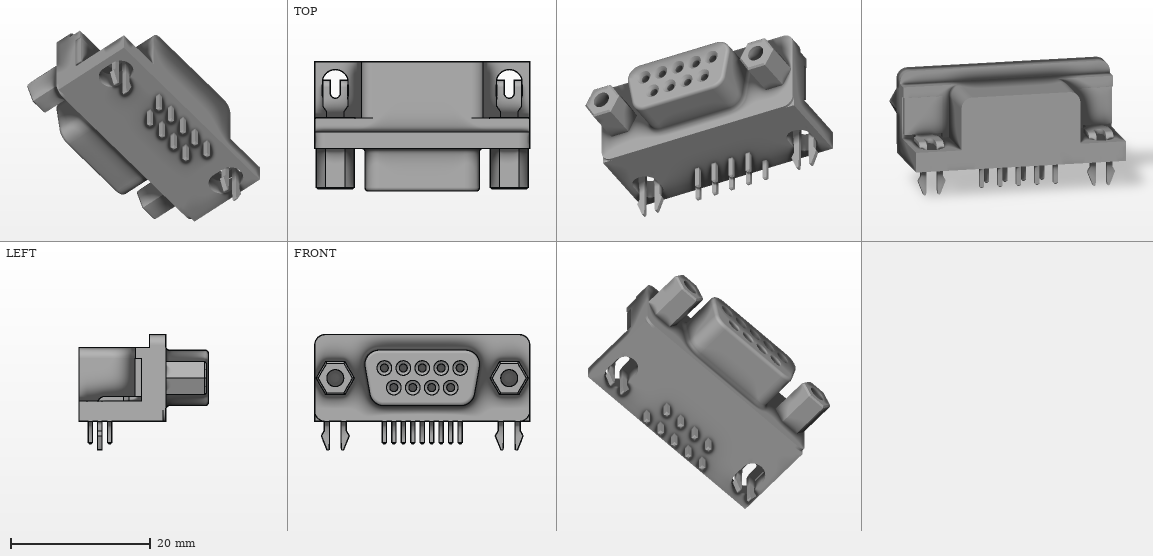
import cadquery as cq
import math


WIDTH = 30.97
DEPTH = 12.5
FLANGE_HEIGHT = 12.5
FLANGE_DEPTH = 2.4
FLANGE_CORNER_RADIUS = 1.55
FACE_PLATE_THICKNESS = 0.4
WALL_BACK_Y = 4.37
BODY_HEIGHT = 10.65
BODY_WIDTH = 17.53
BODY_EDGE_RADIUS = 1.58
BASE_HEIGHT = 2.9

SHELL_LENGTH = 6.13
SHELL_BOTTOM_Z = 2.25
SHELL_TOP_Z = 10.25
SHELL_TOP_HALF_WIDTH = 8.65
SHELL_SIDE_ANGLE = 10.0
SHELL_CORNER_RADIUS = 2.05
SHELL_EDGE_RADIUS = 0.5

TOP_ROW_COUNT = 5
BOTTOM_ROW_COUNT = 4
CONTACT_PITCH = 2.73
TOP_ROW_Z = 7.68
BOTTOM_ROW_Z = 4.85
SOCKET_DIAMETER = 1.15
SOCKET_MOUTH_DIAMETER = 2.1
SOCKET_CONE_DEPTH = (SOCKET_MOUTH_DIAMETER - SOCKET_DIAMETER) / 2
SOCKET_DEPTH = 1.85
PIN_SIDE = 0.65
PIN_LENGTH = 3.22
PIN_CHAMFER = 0.22
TOP_ROW_PIN_Y = 10.87
BOTTOM_ROW_PIN_Y = 8.08

SCREW_SIDES = 6
SCREW_X = 12.5
SCREW_Z = 6.22
SCREW_LENGTH = 5.82
SCREW_ACROSS_FLATS = 4.77
SCREW_CHAMFER = 0.25
SCREW_HOLE_DIAMETER = 2.45
SCREW_HOLE_DEPTH = 4.65

CLIP_THICKNESS = 0.68
CLIP_TOP_Z = BASE_HEIGHT + CLIP_THICKNESS
CLIP_HALF_WIDTH = 1.8
CLIP_NECK_HALF_WIDTH = 1.25
CLIP_NECK_END_Y = 5.3
CLIP_SHOULDER_Y = 6.07
CLIP_BACK_Y = 9.85
CLIP_BEND_RADIUS = 1.05
CLIP_BEND_END_Z = CLIP_TOP_Z - CLIP_BEND_RADIUS
CLIP_SLIT_WIDTH = 1.42
CLIP_SLIT_START_Y = 7.25
CLIP_PLATE_WIDTH = 5.65
CLIP_PLATE_TOP_Z = 9.07
CLIP_PLATE_FRONT_Y = 3.5
CLIP_PLATE_BACK_Y = 4.45
LEG_HALF_WIDTH = 1.6
LEG_INNER_HALF_WIDTH = 0.8
LEG_BOTTOM_Z = -4.15
BARB_TOP_Z = -1.35
BARB_TIP_Z = -2.07
BARB_HALF_WIDTH = 2.0
LEG_END_OUTER = 1.25
LEG_END_INNER = 0.87
LEG_END_CHAMFER = 0.12
LEG_INNER_BEND_Z = -2.8
CLIP_HOLE_RADIUS = 1.85
CLIP_HOLE_FRONT_Y = 7.85
CLIP_HOLE_BACK_Y = 9.48

SELECT_MARGIN = 0.03


def block(x_min, x_max, y_min, y_max, z_min, z_max):
    """Box given by its limits along each axis."""
    size = (x_max - x_min, y_max - y_min, z_max - z_min)
    return cq.Workplane("XY").box(*size, centered=False).translate((x_min, y_min, z_min))


def centred_block(width, y_min, y_max, z_min, z_max):
    """Box that is symmetric about X = 0."""
    return block(-width / 2, width / 2, y_min, y_max, z_min, z_max)


def row_positions(count):
    """X positions of an evenly pitched row centred on X = 0."""
    return [(i - (count - 1) / 2) * CONTACT_PITCH for i in range(count)]


def make_housing():
    face_plate = centred_block(WIDTH, 0, FACE_PLATE_THICKNESS, 0, FLANGE_HEIGHT)
    face_plate = face_plate.edges("|Y").fillet(FLANGE_CORNER_RADIUS)
    flange = centred_block(WIDTH, FACE_PLATE_THICKNESS, FLANGE_DEPTH, 0, FLANGE_HEIGHT)
    flange = flange.edges("|Y and >Z").fillet(FLANGE_CORNER_RADIUS)
    wall = centred_block(WIDTH, FLANGE_DEPTH, WALL_BACK_Y, 0, BODY_HEIGHT)
    body = centred_block(BODY_WIDTH, WALL_BACK_Y, DEPTH, 0, BODY_HEIGHT)
    body = body.edges("|Y and >Z").fillet(BODY_EDGE_RADIUS)
    base = centred_block(WIDTH, WALL_BACK_Y, DEPTH, 0, BASE_HEIGHT)
    return face_plate.union(flange).union(wall).union(body).union(base)


def make_shell():
    taper = (SHELL_TOP_Z - SHELL_BOTTOM_Z) * math.tan(math.radians(SHELL_SIDE_ANGLE))
    bottom_half_width = SHELL_TOP_HALF_WIDTH - taper
    outline = [
        (-SHELL_TOP_HALF_WIDTH, SHELL_TOP_Z),
        (SHELL_TOP_HALF_WIDTH, SHELL_TOP_Z),
        (bottom_half_width, SHELL_BOTTOM_Z),
        (-bottom_half_width, SHELL_BOTTOM_Z),
    ]
    shell = cq.Workplane("XZ").polyline(outline).close().extrude(SHELL_LENGTH)
    shell = shell.edges("|Y").fillet(SHELL_CORNER_RADIUS)
    return shell.faces("<Y").edges().fillet(SHELL_EDGE_RADIUS)


def flare_shell_root(connector):
    """Round the inside corner where the shell meets the flange."""
    root = cq.selectors.BoxSelector(
        (-SHELL_TOP_HALF_WIDTH, -SELECT_MARGIN, SHELL_BOTTOM_Z - SELECT_MARGIN),
        (SHELL_TOP_HALF_WIDTH, SELECT_MARGIN, SHELL_TOP_Z + SELECT_MARGIN),
    )
    return connector.edges(root).fillet(SHELL_EDGE_RADIUS)


def make_socket(x, z):
    """Countersunk blind socket, to be cut from the shell face."""
    profile = [
        (0, 0),
        (SOCKET_MOUTH_DIAMETER / 2, 0),
        (SOCKET_DIAMETER / 2, SOCKET_CONE_DEPTH),
        (SOCKET_DIAMETER / 2, SOCKET_DEPTH),
        (0, SOCKET_DEPTH),
    ]
    socket = cq.Workplane("XY").polyline(profile).close().revolve(360, (0, 0), (0, 1))
    return socket.translate((x, -SHELL_LENGTH, z))


def make_pin(x, y):
    pin = cq.Workplane("XY").rect(PIN_SIDE, PIN_SIDE).extrude(-PIN_LENGTH)
    return pin.faces("<Z").edges().chamfer(PIN_CHAMFER).translate((x, y, 0))


def make_jack_screw(x):
    across_corners = SCREW_ACROSS_FLATS / math.cos(math.pi / SCREW_SIDES)
    screw = cq.Workplane("XZ").polygon(SCREW_SIDES, across_corners).extrude(SCREW_LENGTH)
    screw = screw.faces("<Y").edges().chamfer(SCREW_CHAMFER)
    hole = cq.Workplane("XZ", origin=(0, -SCREW_LENGTH, 0))
    hole = hole.circle(SCREW_HOLE_DIAMETER / 2).extrude(-SCREW_HOLE_DEPTH)
    return screw.cut(hole).translate((x, 0, SCREW_Z))


def make_clip_hole(x):
    """Rounded slot through the base for the legs of a clip."""
    length = CLIP_HOLE_BACK_Y - CLIP_HOLE_FRONT_Y + 2 * CLIP_HOLE_RADIUS
    middle_y = (CLIP_HOLE_BACK_Y + CLIP_HOLE_FRONT_Y) / 2
    slot = cq.Workplane("XY").center(x, middle_y)
    return slot.slot2D(length, 2 * CLIP_HOLE_RADIUS, 90).extrude(BASE_HEIGHT)


def make_plate_pocket(side):
    """Recess in the back of the wall, open at the end of the housing."""
    inner_x = SCREW_X - CLIP_PLATE_WIDTH / 2
    outer_x = WIDTH / 2
    x_min, x_max = sorted((side * inner_x, side * outer_x))
    return block(x_min, x_max, CLIP_PLATE_FRONT_Y, WALL_BACK_Y, BASE_HEIGHT, CLIP_PLATE_TOP_Z)


def make_clip_strip():
    """Flat tongue lying on the base, slit from its back end."""
    half_outline = [
        (CLIP_NECK_HALF_WIDTH, CLIP_PLATE_FRONT_Y),
        (CLIP_NECK_HALF_WIDTH, CLIP_NECK_END_Y),
        (CLIP_HALF_WIDTH, CLIP_SHOULDER_Y),
        (CLIP_HALF_WIDTH, CLIP_BACK_Y),
    ]
    mirrored = [(-x, y) for x, y in reversed(half_outline)]
    strip = cq.Workplane("XY").workplane(offset=BASE_HEIGHT)
    strip = strip.polyline(half_outline + mirrored).close().extrude(CLIP_THICKNESS)

    slit_end_y = CLIP_SLIT_START_Y + CLIP_SLIT_WIDTH / 2
    slit = centred_block(CLIP_SLIT_WIDTH, slit_end_y, CLIP_BACK_Y, BASE_HEIGHT, CLIP_TOP_Z)
    slit_end = cq.Workplane("XY", origin=(0, slit_end_y, BASE_HEIGHT))
    slit_end = slit_end.circle(CLIP_SLIT_WIDTH / 2).extrude(CLIP_THICKNESS)
    return strip.cut(slit).cut(slit_end)


def make_clip_leg(side):
    """Barbed leg hanging from the back end of the strip."""
    outline = [
        (CLIP_SLIT_WIDTH / 2, CLIP_TOP_Z),
        (CLIP_HALF_WIDTH, CLIP_TOP_Z),
        (CLIP_HALF_WIDTH, CLIP_BEND_END_Z),
        (LEG_HALF_WIDTH, 0),
        (LEG_HALF_WIDTH, BARB_TOP_Z),
        (BARB_HALF_WIDTH, BARB_TIP_Z),
        (LEG_END_OUTER, LEG_BOTTOM_Z + LEG_END_CHAMFER),
        (LEG_END_OUTER - LEG_END_CHAMFER, LEG_BOTTOM_Z),
        (LEG_END_INNER + LEG_END_CHAMFER, LEG_BOTTOM_Z),
        (LEG_END_INNER, LEG_BOTTOM_Z + LEG_END_CHAMFER),
        (LEG_INNER_HALF_WIDTH, LEG_INNER_BEND_Z),
        (LEG_INNER_HALF_WIDTH, 0),
        (CLIP_SLIT_WIDTH / 2, CLIP_BEND_END_Z),
    ]
    points = [(side * x, z) for x, z in outline]
    leg = cq.Workplane("XZ", origin=(0, CLIP_BACK_Y, 0))
    return leg.polyline(points).close().extrude(CLIP_THICKNESS)


def make_clip(x):
    plate = centred_block(
        CLIP_PLATE_WIDTH, CLIP_PLATE_FRONT_Y, CLIP_PLATE_BACK_Y, CLIP_TOP_Z, CLIP_PLATE_TOP_Z
    )
    clip = make_clip_strip()
    for side in (-1, 1):
        clip = clip.union(make_clip_leg(side))
    bend_edges = cq.selectors.BoxSelector(
        (-CLIP_HALF_WIDTH, CLIP_BACK_Y - SELECT_MARGIN, CLIP_TOP_Z - SELECT_MARGIN),
        (CLIP_HALF_WIDTH, CLIP_BACK_Y + SELECT_MARGIN, CLIP_TOP_Z + SELECT_MARGIN),
    )
    clip = clip.edges(bend_edges).fillet(CLIP_BEND_RADIUS).union(plate)
    return clip.translate((x, 0, 0))


connector = flare_shell_root(make_housing().union(make_shell()))

rows = [
    (TOP_ROW_COUNT, TOP_ROW_Z, TOP_ROW_PIN_Y),
    (BOTTOM_ROW_COUNT, BOTTOM_ROW_Z, BOTTOM_ROW_PIN_Y),
]
for count, socket_z, pin_y in rows:
    for contact_x in row_positions(count):
        connector = connector.cut(make_socket(contact_x, socket_z))
        connector = connector.union(make_pin(contact_x, pin_y))

for side in (-1, 1):
    screw_x = side * SCREW_X
    connector = connector.cut(make_clip_hole(screw_x)).cut(make_plate_pocket(side))
    connector = connector.union(make_clip(screw_x)).union(make_jack_screw(screw_x))

result = connector